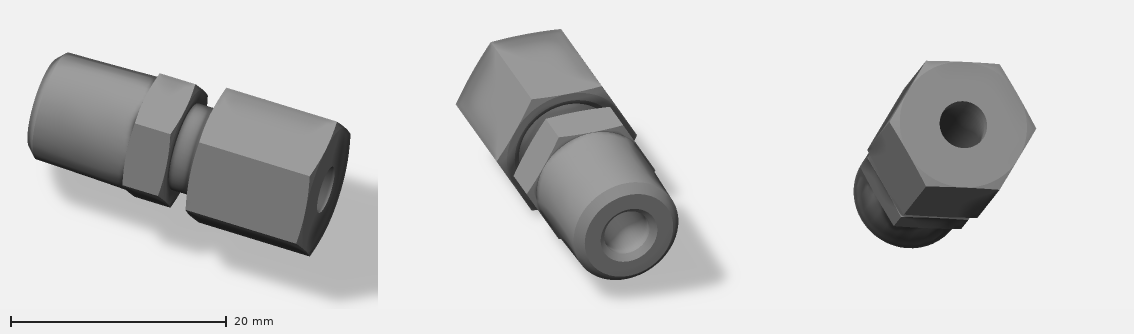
import cadquery as cq
import math


overall_length = 28
hex_start = 10.0
hex_length = 4.0
nut_length = 11.5
nut_start = overall_length - nut_length
nut_wall = 4.0
body_end = overall_length - nut_wall

stud_tip_radius = 4.37
stud_start_radius = 5.18
stud_end_radius = 5.45
stud_chamfer_length = 0.8

neck_radius = 4.2
neck_end = 15.93
thread_radius = 4.7
thread_lead_angle = 30
thread_lead_length = (thread_radius - neck_radius) / math.tan(math.radians(thread_lead_angle))
thread_start = neck_end + thread_lead_length

nut_mouth_radius = 5.25

bore_radius = 2.25
bore_chamfer = 0.55

hex_sides = 6
body_across_flats = 11.0
nut_across_flats = 12.0
hex_chamfer_angle = 15


def cylinder(radius, start, length):
    """Cylinder on the X axis."""
    return cq.Workplane("YZ", origin=(start, 0, 0)).circle(radius).extrude(length)


def revolve_about_x(points):
    """Solid of revolution about X from (x, radius) points."""
    axis_start, axis_end = (0, 0), (1, 0)
    return cq.Workplane("XY").polyline(points).close().revolve(360, axis_start, axis_end)


def chamfered_hexagon(across_flats, start, length):
    """Hexagonal prism with corners on the Y axis and both ends coned down to the flats."""
    flat_radius = across_flats / 2
    corner_radius = flat_radius / math.cos(math.pi / hex_sides)
    chamfer_length = (corner_radius - flat_radius) * math.tan(math.radians(hex_chamfer_angle))
    end = start + length
    prism = (
        cq.Workplane("YZ", origin=(start, 0, 0))
        .polygon(hex_sides, 2 * corner_radius)
        .extrude(length)
    )
    envelope = revolve_about_x([
        (start, 0),
        (start, flat_radius),
        (start + chamfer_length, corner_radius),
        (end - chamfer_length, corner_radius),
        (end, flat_radius),
        (end, 0),
    ])
    return prism.intersect(envelope)


def make_body():
    """Stud body: tapered stud, hexagon, neck and parallel thread, bored through."""
    turned = revolve_about_x([
        (0, 0),
        (0, stud_tip_radius),
        (stud_chamfer_length, stud_start_radius),
        (hex_start, stud_end_radius),
        (hex_start, neck_radius),
        (neck_end, neck_radius),
        (thread_start, thread_radius),
        (body_end, thread_radius),
        (body_end, 0),
    ])
    hexagon = chamfered_hexagon(body_across_flats, hex_start, hex_length)
    bore = cylinder(bore_radius, 0, body_end)
    bore_countersink = revolve_about_x([
        (0, 0),
        (0, bore_radius + bore_chamfer),
        (bore_chamfer, bore_radius),
        (bore_chamfer, 0),
    ])
    return turned.union(hexagon).cut(bore).cut(bore_countersink)


def make_nut():
    """Union nut: hexagon with a countersunk threaded hole for the body and a tube hole in its end."""
    hexagon = chamfered_hexagon(nut_across_flats, nut_start, nut_length)
    threaded_hole = cylinder(thread_radius, nut_start, nut_length - nut_wall)
    tube_hole = cylinder(bore_radius, body_end, nut_wall)
    mouth = revolve_about_x([
        (nut_start, 0),
        (nut_start, nut_mouth_radius),
        (thread_start, thread_radius),
        (thread_start, 0),
    ])
    return hexagon.cut(threaded_hole).cut(tube_hole).cut(mouth)


body = make_body()
nut = make_nut()

result = cq.Compound.makeCompound([body.val(), nut.val()])